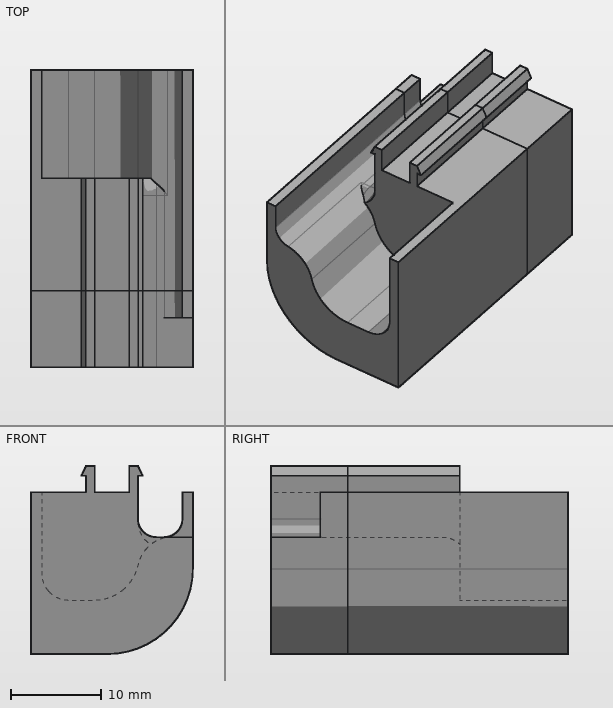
import cadquery as cq
import math

WIDTH = 18.0
LENGTH = 33.0
DECK_Z = 18.0
CORNER_RADIUS = 9.5
FRONT_LENGTH = 8.5
WALL = 1.2

CLIP_TOP_Z = 20.9
CLIP_LEFT_X = 6.1
CLIP_RIGHT_X = 11.88
CLIP_THICKNESS = 1.0
BARB_REACH = 0.53
BARB_Z = 19.8

SLOT_FLOOR_Z = 13.0
SLOT_RADIUS = 2.0
SLOT_RIGHT_X = WIDTH - WALL
SLOT_ARC_X = SLOT_RIGHT_X - SLOT_RADIUS
WALL_START_Y = 5.5

CAVITY_START_Y = 21.0
CAVITY_FLOOR_Z = 6.0
CAVITY_CORNER_RADIUS = 2.97
BOWL_RADIUS = 4.98
CREST_RADIUS = 4.0
CREST_X = 15.1
BEND_START_Y = 19.1
BEND_RADIUS = 2.35

CUT_TOP_Z = CLIP_TOP_Z + 0.33


def extrude_along_y(outline, start, end):
    """Extrude a closed XZ outline between two Y positions."""
    return outline.extrude(start - end).translate((0, start, 0))


def make_block():
    outline = (
        cq.Workplane("XZ")
        .lineTo(WIDTH - CORNER_RADIUS, 0)
        .radiusArc((WIDTH, CORNER_RADIUS), -CORNER_RADIUS)
        .lineTo(WIDTH, DECK_Z)
        .lineTo(0, DECK_Z)
        .close()
    )
    return extrude_along_y(outline, 0, LENGTH)


def make_clip(outer_x, outward):
    """Upright clip with a barb; outward is -1 or +1 along X."""
    inner_x = outer_x - outward * CLIP_THICKNESS
    outline = cq.Workplane("XZ").polyline([
        (inner_x, DECK_Z),
        (outer_x, DECK_Z),
        (outer_x, BARB_Z),
        (outer_x + outward * BARB_REACH, BARB_Z),
        (outer_x, CLIP_TOP_Z),
        (inner_x, CLIP_TOP_Z),
    ]).close()
    return extrude_along_y(outline, 0, CAVITY_START_Y)


def draw_slot(top_z):
    arc_z = SLOT_FLOOR_Z + SLOT_RADIUS
    return (
        cq.Workplane("XZ")
        .moveTo(CLIP_RIGHT_X, top_z)
        .lineTo(CLIP_RIGHT_X, arc_z)
        .radiusArc((CLIP_RIGHT_X + SLOT_RADIUS, SLOT_FLOOR_Z), -SLOT_RADIUS)
        .lineTo(SLOT_ARC_X, SLOT_FLOOR_Z)
        .radiusArc((SLOT_RIGHT_X, arc_z), -SLOT_RADIUS)
        .lineTo(SLOT_RIGHT_X, top_z)
        .close()
    )


def draw_cavity():
    slot_arc_z = SLOT_FLOOR_Z + SLOT_RADIUS
    crest_offset = CREST_X - SLOT_ARC_X
    crest_drop = math.sqrt(SLOT_RADIUS**2 - crest_offset**2)
    crest_z = slot_arc_z - crest_drop
    crest_center_x = CREST_X + CREST_RADIUS * crest_offset / SLOT_RADIUS
    crest_center_z = crest_z - CREST_RADIUS * crest_drop / SLOT_RADIUS

    bowl_center_z = CAVITY_FLOOR_Z + BOWL_RADIUS
    center_distance = BOWL_RADIUS + CREST_RADIUS
    center_drop = bowl_center_z - crest_center_z
    bowl_center_x = crest_center_x - math.sqrt(center_distance**2 - center_drop**2)
    crest_share = CREST_RADIUS / center_distance
    tangent_point = (
        crest_center_x + crest_share * (bowl_center_x - crest_center_x),
        crest_center_z + crest_share * center_drop,
    )
    return (
        cq.Workplane("XZ")
        .moveTo(WALL, DECK_Z)
        .lineTo(WALL, CAVITY_FLOOR_Z + CAVITY_CORNER_RADIUS)
        .radiusArc((WALL + CAVITY_CORNER_RADIUS, CAVITY_FLOOR_Z), -CAVITY_CORNER_RADIUS)
        .lineTo(bowl_center_x, CAVITY_FLOOR_Z)
        .radiusArc(tangent_point, -BOWL_RADIUS)
        .radiusArc((CREST_X, crest_z), CREST_RADIUS)
        .lineTo(CREST_X, DECK_Z)
        .close()
    )


def make_slot_bend():
    """Slot swept downward into the cavity, mitred against the cavity flank."""
    axis_z = SLOT_FLOOR_Z - BEND_RADIUS
    quarter_turn = 90
    bend = (
        draw_slot(DECK_Z)
        .revolve(quarter_turn, (0.33, axis_z), (0, axis_z))
        .translate((0, BEND_START_Y, 0))
    )
    flank = extrude_along_y(draw_cavity(), BEND_START_Y, CAVITY_START_Y)
    return bend.intersect(flank)


def make_wall_relief():
    """Removes the right wall at the front, down to the slot floor."""
    return cq.Workplane("XY").box(
        WIDTH - SLOT_ARC_X, WALL_START_Y, CUT_TOP_Z - SLOT_FLOOR_Z, centered=False
    ).translate((SLOT_ARC_X, 0, SLOT_FLOOR_Z))


def make_full_shape():
    """Continuous shape shared by the front and rear bodies."""
    shape = make_block()
    shape = shape.cut(extrude_along_y(draw_slot(DECK_Z), 0, LENGTH))
    shape = shape.cut(make_wall_relief())
    shape = shape.cut(extrude_along_y(draw_cavity(), CAVITY_START_Y, LENGTH))
    shape = shape.cut(make_slot_bend())
    shape = shape.union(make_clip(CLIP_LEFT_X, -1))
    return shape.union(make_clip(CLIP_RIGHT_X, 1))


def take_section(shape, start, end):
    """The part of the shape between two Y positions."""
    slab = cq.Workplane("XY").box(WIDTH, end - start, CUT_TOP_Z, centered=False)
    return shape.intersect(slab.translate((0, start, 0))).solids()


full_shape = make_full_shape()
front_body = take_section(full_shape, 0, FRONT_LENGTH)
rear_body = take_section(full_shape, FRONT_LENGTH, LENGTH)

result = cq.Compound.makeCompound([front_body.val(), rear_body.val()])